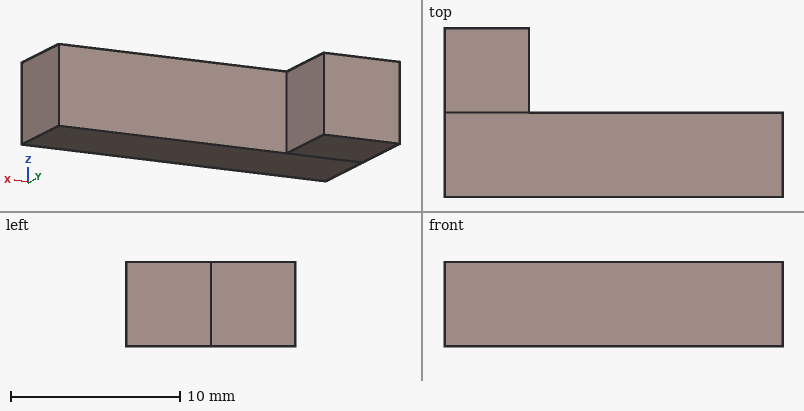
import cadquery as cq

bar_length = 20.0
section = 5.0


def make_bar():
    """Long square bar along X, with one corner at the origin."""
    return cq.Workplane("XY").box(bar_length, section, section, centered=False)


def make_end_cube():
    """Cube resting against the +Y face of the bar, flush with its -X end."""
    cube = cq.Workplane("XY").box(section, section, section, centered=False)
    return cube.translate((0, section, 0))


bar = make_bar()
end_cube = make_end_cube()

result = cq.Compound.makeCompound([bar.val(), end_cube.val()])